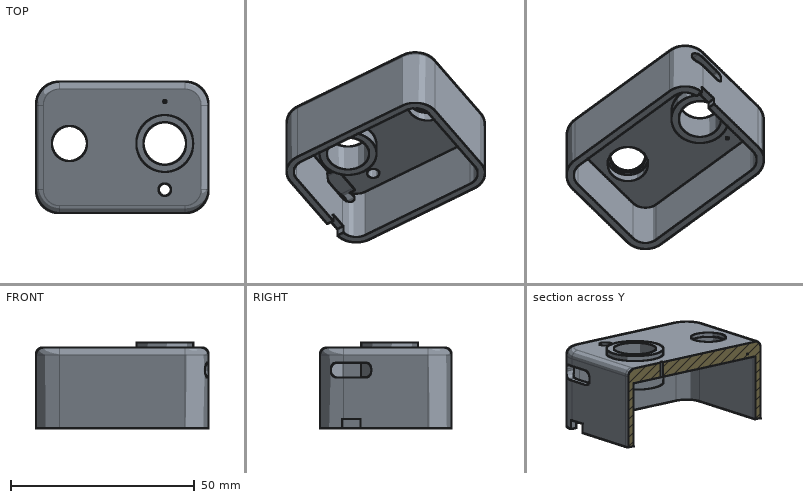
import cadquery as cq

LENGTH = 47.16
WIDTH = 35.95
BODY_HEIGHT = 22.1
CORNER_RADIUS = 6.5
TOP_FILLET = 2.05
WALL = 2.0
TOP_THICKNESS = 4.3

AXIS_Y = 1.05

LENS_X = 11.6
TUBE_DIAMETER = 15.53
LENS_BORE = 11.53
TUBE_PROTRUSION = 1.4
TUBE_BOTTOM_Z = 14.0

SENSOR_X = -14.4
SENSOR_WINDOW = 9.5
SENSOR_BORE = 11.0
SENSOR_LIP = 1.2

LED_DIAMETER = 3.3
LED_Y = -11.55
PINHOLE_DIAMETER = 0.75
PINHOLE_Y = 12.5

SIDE_CUT_DEPTH = CORNER_RADIUS - WALL
SIDE_CUT_Y = -9.45

SLOT_LENGTH = 11.0
SLOT_HEIGHT = 4.1
SLOT_END_RADIUS = 1.75
SLOT_CENTER_Z = 15.92

NOTCH_WIDTH = 5.0
NOTCH_HEIGHT = 2.6


def cylinder(diameter, x, y, bottom_z, top_z):
    """Upright cylinder between two heights."""
    base = cq.Workplane("XY", origin=(x, y, bottom_z))
    return base.circle(diameter / 2).extrude(top_z - bottom_z)


def rounded_box(length, width, height, corner_radius):
    """Box standing on Z = 0 with rounded upright corners."""
    box = cq.Workplane("XY").box(length, width, height, centered=(True, True, False))
    return box.edges("|Z").fillet(corner_radius)


def side_wall_block(width, height, center_z):
    """Block that crosses the +X wall, including its rounded corner."""
    block = cq.Workplane("XY").box(2 * SIDE_CUT_DEPTH, width, height)
    return block.translate((LENGTH / 2, SIDE_CUT_Y, center_z))


def make_shell():
    outer = rounded_box(LENGTH, WIDTH, BODY_HEIGHT, CORNER_RADIUS)
    outer = outer.faces(">Z").edges().fillet(TOP_FILLET)
    cavity = rounded_box(
        LENGTH - 2 * WALL,
        WIDTH - 2 * WALL,
        BODY_HEIGHT - TOP_THICKNESS,
        CORNER_RADIUS - WALL,
    )
    return outer.cut(cavity)


def add_lens_tube(body):
    top_z = BODY_HEIGHT + TUBE_PROTRUSION
    tube = cylinder(TUBE_DIAMETER, LENS_X, AXIS_Y, TUBE_BOTTOM_Z, top_z)
    bore = cylinder(LENS_BORE, LENS_X, AXIS_Y, TUBE_BOTTOM_Z, top_z)
    return body.union(tube).cut(bore)


def cut_sensor_window(body):
    window = cylinder(SENSOR_WINDOW, SENSOR_X, AXIS_Y, 0, BODY_HEIGHT)
    bore = cylinder(SENSOR_BORE, SENSOR_X, AXIS_Y, 0, BODY_HEIGHT - SENSOR_LIP)
    return body.cut(window).cut(bore)


def cut_small_holes(body):
    led_hole = cylinder(LED_DIAMETER, LENS_X, LED_Y, 0, BODY_HEIGHT)
    pinhole = cylinder(PINHOLE_DIAMETER, LENS_X, PINHOLE_Y, 0, BODY_HEIGHT)
    return body.cut(led_hole).cut(pinhole)


def cut_connector_slot(body):
    slot = side_wall_block(SLOT_LENGTH, SLOT_HEIGHT, SLOT_CENTER_Z)
    slot = slot.edges("|X").fillet(SLOT_END_RADIUS)
    return body.cut(slot)


def cut_bottom_notch(body):
    notch = side_wall_block(NOTCH_WIDTH, NOTCH_HEIGHT, NOTCH_HEIGHT / 2)
    return body.cut(notch)


result = make_shell()
result = cut_connector_slot(result)
result = cut_bottom_notch(result)
result = add_lens_tube(result)
result = cut_sensor_window(result)
result = cut_small_holes(result)